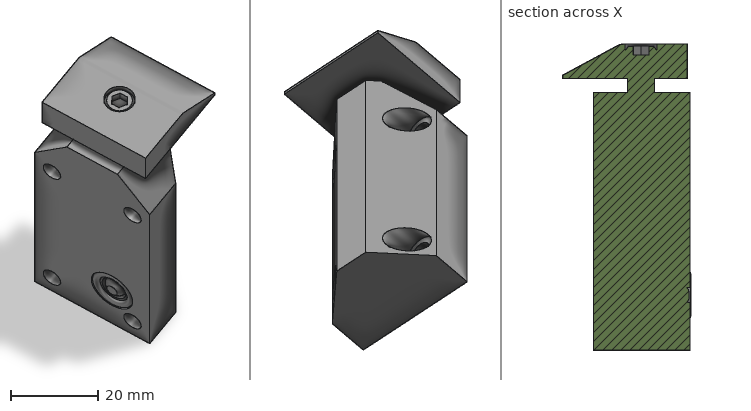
import cadquery as cq
import math

body_width = 31.75
body_depth = 22.225
body_height = 59.165
top_chamfer = 8.9
side_depth = 10.75

hole_diameter = 4.7625
hole_spacing_x = 22.225
hole_spacing_z = 41.275
hole_bottom_z = 5.12
counterbore_diameter = 7.9375
counterbore_floor_y = side_depth

port_x = 5.45
port_z = 12.7
ring_outer_diameter = 11.4
ring_section_diameter = 1.9
ring_proud = 0.12
port_floor_y = 0.8
bore_diameter = 6.45
ball_diameter = 6.0
ball_flat_diameter = 2.85

shaft_diameter = 6.35
shaft_y = 11.28
shaft_gap = 3.175

overall_depth = 29.36
jaw_width = 28.575
jaw_length = 28.575
jaw_height = 7.9375
jaw_nose_height = 0.8
jaw_front_y = overall_depth - ring_proud - jaw_length
jaw_ridge_y = 16.0
jaw_ridge_radius = 2.8

screw_hole_diameter = 7.2
screw_head_height = 1.5
screw_chamfer_width = 0.65
screw_chamfer_height = 0.9
screw_recess = 0.5
hex_across_flats = 3.57
hex_depth = 2.0

jaw_bottom_z = body_height + shaft_gap
jaw_top_z = jaw_bottom_z + jaw_height


def make_body():
    half_width = body_width / 2
    back_half_width = half_width - (body_depth - side_depth)
    plan = [
        (-half_width, 0),
        (half_width, 0),
        (half_width, side_depth),
        (back_half_width, body_depth),
        (-back_half_width, body_depth),
        (-half_width, side_depth),
    ]
    front = [
        (-half_width, 0),
        (half_width, 0),
        (half_width, body_height - top_chamfer),
        (half_width - top_chamfer, body_height),
        (top_chamfer - half_width, body_height),
        (-half_width, body_height - top_chamfer),
    ]
    plan_block = cq.Workplane("XY").polyline(plan).close().extrude(body_height)
    front_block = cq.Workplane("XZ").polyline(front).close().extrude(-body_depth)
    return plan_block.intersect(front_block)


def cylinder_along_y(x, z, diameter, start_y, end_y):
    plane = cq.Workplane("XZ", origin=(x, start_y, z))
    return plane.circle(diameter / 2).extrude(start_y - end_y)


def cut_mounting_holes(body):
    for x in (-hole_spacing_x / 2, hole_spacing_x / 2):
        for z in (hole_bottom_z, hole_bottom_z + hole_spacing_z):
            body = body.cut(cylinder_along_y(x, z, hole_diameter, 0, body_depth))
            counterbore = cylinder_along_y(x, z, counterbore_diameter, counterbore_floor_y, body_depth)
            body = body.cut(counterbore)
    return body


def add_port(body):
    bore_floor_y = math.sqrt(ball_diameter**2 - ball_flat_diameter**2) / 2
    recess = cylinder_along_y(port_x, port_z, ring_outer_diameter, 0, port_floor_y)
    bore = cylinder_along_y(port_x, port_z, bore_diameter, 0, bore_floor_y)
    body = body.cut(recess).cut(bore)

    section_radius = ring_section_diameter / 2
    ring = cq.Solid.makeTorus(
        ring_outer_diameter / 2 - section_radius,
        section_radius,
        cq.Vector(port_x, section_radius - ring_proud, port_z),
        cq.Vector(0, 1, 0),
    )

    ball = cq.Workplane("XY").sphere(ball_diameter / 2).translate((port_x, bore_floor_y, port_z))
    stud = ball.intersect(cylinder_along_y(port_x, port_z, bore_diameter, 0, bore_floor_y))
    return body.union(cq.Workplane(ring)).union(stud)


def make_jaw():
    jaw_back_y = jaw_front_y + jaw_length
    profile = [
        (jaw_front_y, jaw_bottom_z),
        (jaw_back_y, jaw_bottom_z),
        (jaw_back_y, jaw_bottom_z + jaw_nose_height),
        (jaw_ridge_y, jaw_top_z),
        (jaw_front_y, jaw_top_z),
    ]
    jaw = cq.Workplane("YZ").polyline(profile).close().extrude(jaw_width / 2, both=True)
    ridge_point = (0, jaw_ridge_y, jaw_top_z)
    return jaw.edges(cq.selectors.NearestToPointSelector(ridge_point)).fillet(jaw_ridge_radius)


def add_screw(jaw):
    head_top_z = jaw_top_z - screw_recess
    head_bottom_z = head_top_z - screw_head_height
    hole = (
        cq.Workplane("XY", origin=(0, shaft_y, head_bottom_z))
        .circle(screw_hole_diameter / 2)
        .extrude(jaw_top_z - head_bottom_z)
    )
    head = (
        cq.Workplane("XY", origin=(0, shaft_y, head_bottom_z))
        .circle(screw_hole_diameter / 2)
        .extrude(screw_head_height)
        .faces(">Z")
        .edges()
        .chamfer(screw_chamfer_height, screw_chamfer_width)
    )
    hex_across_corners = hex_across_flats / math.cos(math.pi / 6)
    socket = (
        cq.Workplane("XY", origin=(0, shaft_y, head_top_z))
        .polygon(6, hex_across_corners)
        .extrude(-hex_depth)
    )
    return jaw.cut(hole).union(head).cut(socket)


def make_shaft():
    return (
        cq.Workplane("XY", origin=(0, shaft_y, body_height))
        .circle(shaft_diameter / 2)
        .extrude(shaft_gap)
    )


body = add_port(cut_mounting_holes(make_body()))
jaw = add_screw(make_jaw())
result = body.union(make_shaft()).union(jaw)